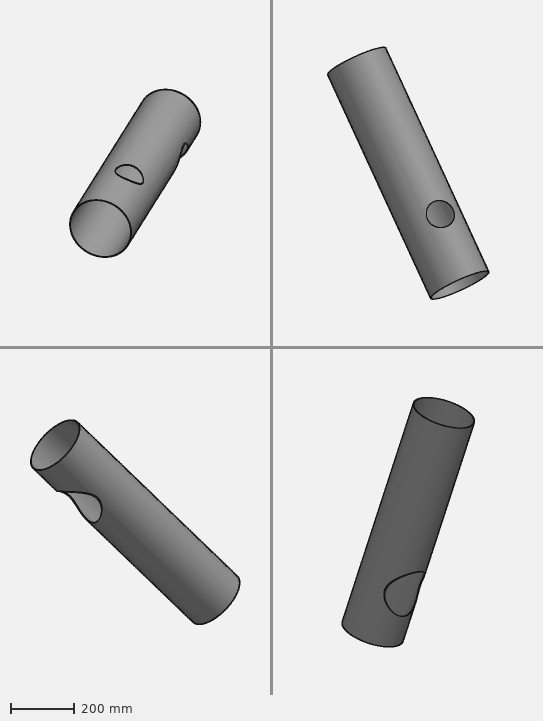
import cadquery as cq
import math

length = 787.5
outer_diameter = 203.0
wall = 2.75
outer_radius = outer_diameter / 2

upper_hole_diameter = 89.0
upper_hole_x = 31.5
upper_hole_y = 217.0

lower_hole_diameter = 160.0
lower_hole_y = 598.5
lower_hole_angle = 46.0


def make_tube():
    profile = cq.Workplane("XZ").circle(outer_radius).circle(outer_radius - wall)
    return profile.extrude(-length)


def upper_hole_cutter():
    """Vertical cylinder from the tube axis up past the upper wall."""
    center = cq.Workplane("XY").center(upper_hole_x, upper_hole_y)
    return center.circle(upper_hole_diameter / 2).extrude(outer_diameter)


def lower_hole_cutter():
    """Cylinder from the tube axis outwards, sloping down towards +X."""
    angle = math.radians(lower_hole_angle)
    plane = cq.Plane(
        origin=(0, lower_hole_y, 0),
        xDir=(0, 1, 0),
        normal=(math.cos(angle), 0, -math.sin(angle)),
    )
    return cq.Workplane(plane).circle(lower_hole_diameter / 2).extrude(outer_diameter)


result = make_tube().cut(upper_hole_cutter()).cut(lower_hole_cutter())